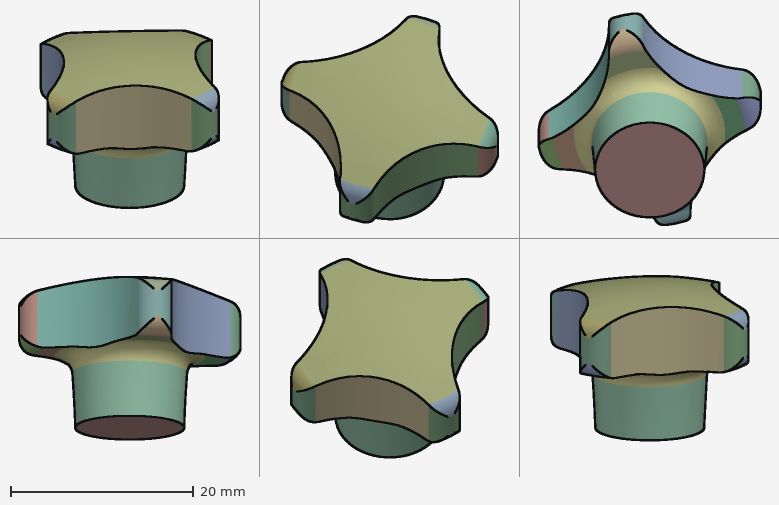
import cadquery as cq
import math

tip_radius = 12.5
height = 16.0
head_bottom = 8.0
dome_radius = 39.75
round_radius = 2.0
waist_radius = 7.25
stem_radius = 6.0
stem_taper = math.radians(3.0)
lobe_count = 4


def arc_point(center, radius, angle):
    """Point on a circle at an angle in radians."""
    return (center[0] + radius * math.cos(angle), center[1] + radius * math.sin(angle))


def make_turned_body():
    """Stem, underside, rounded rim and dome as one revolved profile."""
    fillet_z = head_bottom - round_radius
    stem_top_z = fillet_z + round_radius * math.sin(stem_taper)
    stem_top_radius = stem_radius + stem_top_z * math.tan(stem_taper)
    fillet_center = (stem_top_radius + round_radius * math.cos(stem_taper), fillet_z)
    fillet_start = math.pi - stem_taper
    fillet_middle = (fillet_start + math.pi / 2) / 2

    rim_center_radius = tip_radius - round_radius
    dome_center = (0, height - dome_radius)
    dome_angle = math.acos(rim_center_radius / (dome_radius - round_radius))
    upper_rim_z = dome_center[1] + (dome_radius - round_radius) * math.sin(dome_angle)
    upper_rim = (rim_center_radius, upper_rim_z)
    lower_rim = (rim_center_radius, head_bottom + round_radius)

    profile = (
        cq.Workplane("XZ")
        .lineTo(stem_radius, 0)
        .lineTo(stem_top_radius, stem_top_z)
        .threePointArc(
            arc_point(fillet_center, round_radius, fillet_middle),
            (fillet_center[0], head_bottom),
        )
        .lineTo(rim_center_radius, head_bottom)
        .threePointArc(
            arc_point(lower_rim, round_radius, -math.pi / 4),
            (tip_radius, lower_rim[1]),
        )
        .lineTo(tip_radius, upper_rim_z)
        .threePointArc(
            arc_point(upper_rim, round_radius, dome_angle / 2),
            arc_point(upper_rim, round_radius, dome_angle),
        )
        .threePointArc(
            arc_point(dome_center, dome_radius, (dome_angle + math.pi / 2) / 2),
            (0, height),
        )
        .close()
    )
    return profile.revolve(360, (0, 0, 0), (0, 1, 0))


def make_lobe_prism():
    """Plan outline of the lobes: round tips joined by tangent scallops."""
    tip_center_radius = tip_radius - round_radius
    lobe_pitch = 2 * math.pi / lobe_count
    half_pitch = lobe_pitch / 2

    scallop_distance = (tip_center_radius**2 - (waist_radius - round_radius) ** 2) / (
        2 * (tip_center_radius * math.cos(half_pitch) - waist_radius + round_radius)
    )
    scallop_x = scallop_distance * math.cos(half_pitch)
    scallop_y = scallop_distance * math.sin(half_pitch)
    contact_angle = math.atan2(scallop_y, scallop_x - tip_center_radius)

    def tip_point(lobe_angle, angle):
        center = arc_point((0, 0), tip_center_radius, lobe_angle)
        return arc_point(center, round_radius, lobe_angle + angle)

    outline = cq.Workplane("XY").moveTo(*tip_point(0, -contact_angle))
    for lobe in range(lobe_count):
        angle = lobe * lobe_pitch
        outline = outline.threePointArc(
            arc_point((0, 0), tip_radius, angle), tip_point(angle, contact_angle)
        ).threePointArc(
            arc_point((0, 0), waist_radius, angle + half_pitch),
            tip_point(angle + lobe_pitch, -contact_angle),
        )
    return outline.close().extrude(height)


result = make_turned_body().intersect(make_lobe_prism())